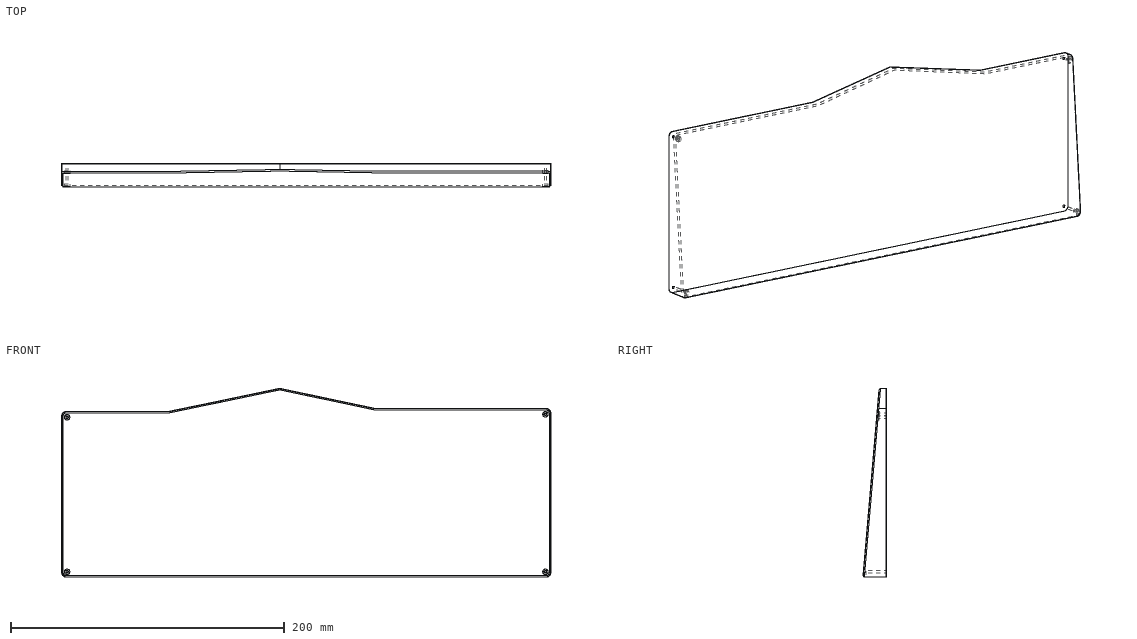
import cadquery as cq
import math

width = 357.5
depth = 17.0
peak_height = 138.0

left_shoulder_height = 121.2
right_shoulder_height = 123.5
crest_start_x = 78.5
peak_x = 159.5
crest_end_x = 229.0
corner_radius = 3.5

lean_angle = math.radians(4.9)
rim_chamfer = 1.0

screw_inset = 4.0
screw_top_inset = 4.3
screw_hole_diameter = 1.6
screw_head_diameter = 4.0
screw_head_depth = 1.8


def front_y(z):
    """Y of the leaning front face at height z; it reaches Y = 0 at the lower edge left by the chamfer."""
    return (z - rim_chamfer * math.cos(lean_angle)) * math.tan(lean_angle)


def make_plate():
    """Full-depth plate with its crest and rounded outer corners."""
    outline = [
        (0, 0),
        (width, 0),
        (width, right_shoulder_height),
        (crest_end_x, right_shoulder_height),
        (peak_x, peak_height),
        (crest_start_x, left_shoulder_height),
        (0, left_shoulder_height),
    ]
    lower_front_y = front_y(0)
    plate = (
        cq.Workplane("XZ", origin=(0, lower_front_y, 0))
        .polyline(outline)
        .close()
        .extrude(lower_front_y - depth)
    )
    return plate.edges("|Y and (<X or >X)").fillet(corner_radius)


def make_front_waste():
    """Wedge of material in front of the leaning face."""
    profile = [
        (front_y(0), 0),
        (front_y(peak_height), peak_height),
        (-depth, peak_height),
        (-depth, 0),
    ]
    return cq.Workplane("YZ").polyline(profile).close().extrude(width)


def make_screw_hole(x, z):
    """Through hole along Y with a head recess whose floor lies screw_head_depth below the front face."""
    floor_y = front_y(z) + screw_head_depth
    hole = cq.Workplane("XZ", origin=(x, 0, z)).circle(screw_hole_diameter / 2).extrude(-depth)
    head = cq.Workplane("XZ", origin=(x, floor_y, z)).circle(screw_head_diameter / 2).extrude(depth)
    return hole.union(head)


result = make_plate().cut(make_front_waste())
result = result.faces("<Y").chamfer(rim_chamfer)

screw_positions = [
    (screw_inset, screw_inset),
    (width - screw_inset, screw_inset),
    (screw_inset, left_shoulder_height - screw_top_inset),
    (width - screw_inset, right_shoulder_height - screw_top_inset),
]
for screw_x, screw_z in screw_positions:
    result = result.cut(make_screw_hole(screw_x, screw_z))